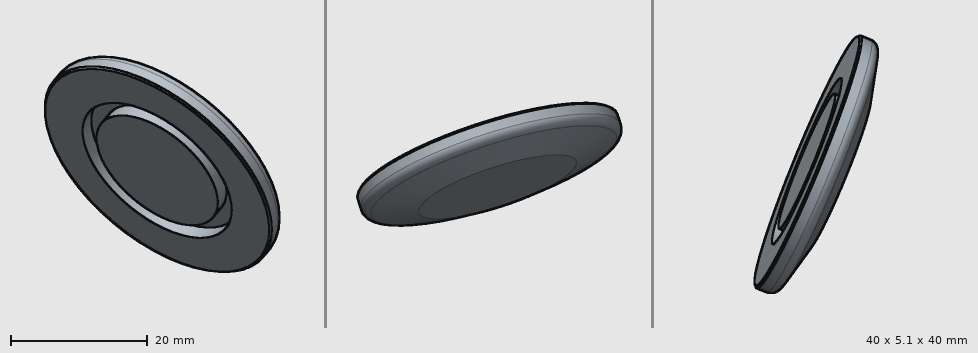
import cadquery as cq
import math

outer_radius = 20.0
thickness = 5.1
front_chamfer = 0.3
back_flat_radius = 12.1
rim_height = 1.9
edge_radius = 1.5

groove_outer_radius = 13.1
groove_inner_radius = 10.7
groove_depth = 2.3

front_y = -thickness / 2
back_y = thickness / 2


def make_disc():
    """Chamfered front, straight rim, rounded edge and conical back."""
    arc_x = outer_radius - edge_radius
    arc_y = front_y + rim_height

    run = arc_x - back_flat_radius
    drop = back_y - arc_y
    slope = math.atan2(drop, run) - math.asin(edge_radius / math.hypot(run, drop))
    arc_end = math.pi / 2 - slope

    def edge_point(angle):
        return (arc_x + edge_radius * math.cos(angle), arc_y + edge_radius * math.sin(angle))

    return (
        cq.Workplane("XY")
        .moveTo(0, front_y)
        .lineTo(outer_radius - front_chamfer, front_y)
        .lineTo(outer_radius, front_y + front_chamfer)
        .lineTo(outer_radius, arc_y)
        .threePointArc(edge_point(arc_end / 2), edge_point(arc_end))
        .lineTo(back_flat_radius, back_y)
        .lineTo(0, back_y)
        .close()
        .revolve(360, (0, 0, 0), (0, 1, 0))
    )


def make_groove():
    """Ring that is cut from the front face."""
    return (
        cq.Workplane("XZ", origin=(0, front_y, 0))
        .circle(groove_outer_radius)
        .circle(groove_inner_radius)
        .extrude(-groove_depth)
    )


result = make_disc().cut(make_groove())